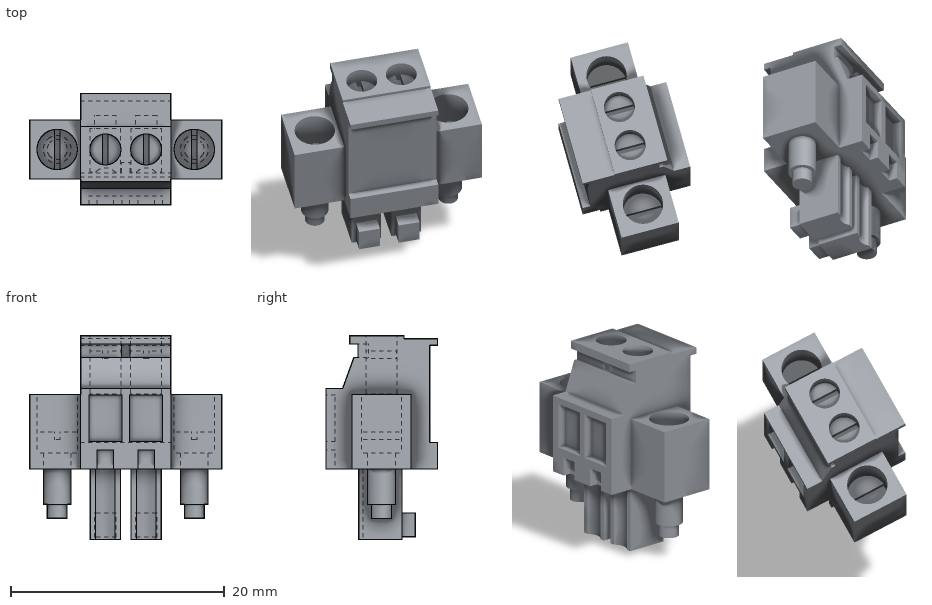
import cadquery as cq

pole_pitch = 3.81
pole_positions = [-pole_pitch / 2, pole_pitch / 2]

core_width = 8.46
overall_width = 18.01
front_y = -5.2
back_y = 5.25
top_z = 12.5
back_ledge_z = 12.23
back_ledge_y = 2.13
back_lip_z = 11.59
back_wall_y = 4.53
back_foot_z = 2.51
front_lip_y = -2.98
front_lip_z = 11.71
notch_y = -2.21
notch_z = 10.47
slope_top_y = -2.59
slope_bottom_y = -3.64
front_step_z = 7.57

slit_width = 0.84
slit_depth = 1.0

flange_depth = 5.56
flange_height = 7.0
flange_screw_spacing = 12.84
flange_screw_positions = [-flange_screw_spacing / 2, flange_screw_spacing / 2]

recess_depth = 0.83
window_width = 3.1
window_bottom_z = 2.6
window_top_z = 6.94
test_slot_width = 1.55
test_slot_height = 1.8

prong_width = 2.84
prong_front_y = -2.13
prong_back_y = 1.94
prong_length = 6.6
groove_width = 1.83
groove_depth = 0.4
key_back_y = 3.18
key_width = 2.0
key_top_z = -4.09
key_bottom_z = -6.35

flange_head_diameter = 3.78
flange_head_top_z = 3.5
flange_head_height = 2.0
flange_head_bottom_z = flange_head_top_z - flange_head_height
shank_diameter = 2.6
shank_end_z = -3.3
tip_diameter = 1.87
tip_end_z = -4.6

clamp_diameter = 2.9
clamp_recess = 1.45
clamp_length = 4.0
clamp_top_z = top_z - clamp_recess
clamp_bottom_z = clamp_top_z - clamp_length

drive_slot_width = 0.5
drive_slot_depth = 0.7


def block(x_center, width, y_range, z_range):
    """Box centred on x_center, filling the given Y and Z ranges."""
    y_low, y_high = y_range
    z_low, z_high = z_range
    box = cq.Workplane("XY").box(width, y_high - y_low, z_high - z_low, centered=(True, False, False))
    return box.translate((x_center, y_low, z_low))


def cylinder(x, diameter, z_low, z_high):
    """Upright cylinder on the screw line."""
    return cq.Workplane("XY", origin=(x, 0, z_low)).circle(diameter / 2).extrude(z_high - z_low)


def make_core():
    """Stepped core profile with a slit in its notch wall."""
    profile = [
        (front_y, 0),
        (front_y, front_step_z),
        (slope_bottom_y, front_step_z),
        (slope_top_y, notch_z),
        (notch_y, notch_z),
        (notch_y, front_lip_z),
        (front_lip_y, front_lip_z),
        (front_lip_y, top_z),
        (back_ledge_y, top_z),
        (back_ledge_y, back_ledge_z),
        (back_y, back_ledge_z),
        (back_y, back_lip_z),
        (back_wall_y, back_lip_z),
        (back_wall_y, back_foot_z),
        (back_y, back_foot_z),
        (back_y, 0),
    ]
    core = cq.Workplane("YZ").polyline(profile).close().extrude(core_width / 2, both=True)
    slit = block(0, slit_width, (notch_y, notch_y + slit_depth), (notch_z, front_lip_z))
    return core.cut(slit)


def make_prong(x):
    """Prong with a round groove in its front and a narrower key on its back."""
    prong = block(x, prong_width, (prong_front_y, prong_back_y), (-prong_length, 0))
    groove = (
        cq.Workplane("XY")
        .moveTo(x - groove_width / 2, prong_front_y)
        .threePointArc((x, prong_front_y + groove_depth), (x + groove_width / 2, prong_front_y))
        .close()
        .extrude(-prong_length)
    )
    key = block(x, key_width, (prong_back_y, key_back_y), (key_bottom_z, key_top_z))
    return prong.cut(groove).union(key)


def make_housing():
    """Core, flanges and prongs, with the windows, test slots and screw bores cut out."""
    flanges = block(0, overall_width, (-flange_depth / 2, flange_depth / 2), (0, flange_height))
    housing = make_core().union(flanges)
    recess_y = (front_y, front_y + recess_depth)
    for x in pole_positions:
        housing = housing.union(make_prong(x))
        housing = housing.cut(block(x, window_width, recess_y, (window_bottom_z, window_top_z)))
        housing = housing.cut(block(x, test_slot_width, recess_y, (0, test_slot_height)))
        housing = housing.cut(cylinder(x, clamp_diameter, clamp_bottom_z, top_z))
    for x in flange_screw_positions:
        housing = housing.cut(cylinder(x, flange_head_diameter, flange_head_bottom_z, flange_height))
        housing = housing.cut(cylinder(x, shank_diameter, 0, flange_head_bottom_z))
    return housing


def drive_slot(x, diameter, head_top_z):
    """Straight screwdriver slot across a screw head, along Y."""
    y_range = (-diameter / 2, diameter / 2)
    return block(x, drive_slot_width, y_range, (head_top_z - drive_slot_depth, head_top_z))


def make_flange_screw(x):
    """Slotted head, shank and thinner tip."""
    head = cylinder(x, flange_head_diameter, flange_head_bottom_z, flange_head_top_z)
    shank = cylinder(x, shank_diameter, shank_end_z, flange_head_bottom_z)
    tip = cylinder(x, tip_diameter, tip_end_z, shank_end_z)
    return head.union(shank).union(tip).cut(drive_slot(x, flange_head_diameter, flange_head_top_z))


def make_clamp_screw(x):
    """Headless slotted screw sunk below the top of the housing."""
    screw = cylinder(x, clamp_diameter, clamp_bottom_z, clamp_top_z)
    return screw.cut(drive_slot(x, clamp_diameter, clamp_top_z))


housing = make_housing()
flange_screws = [make_flange_screw(x).val() for x in flange_screw_positions]
clamp_screws = [make_clamp_screw(x).val() for x in pole_positions]

result = cq.Compound.makeCompound([housing.val(), *flange_screws, *clamp_screws])